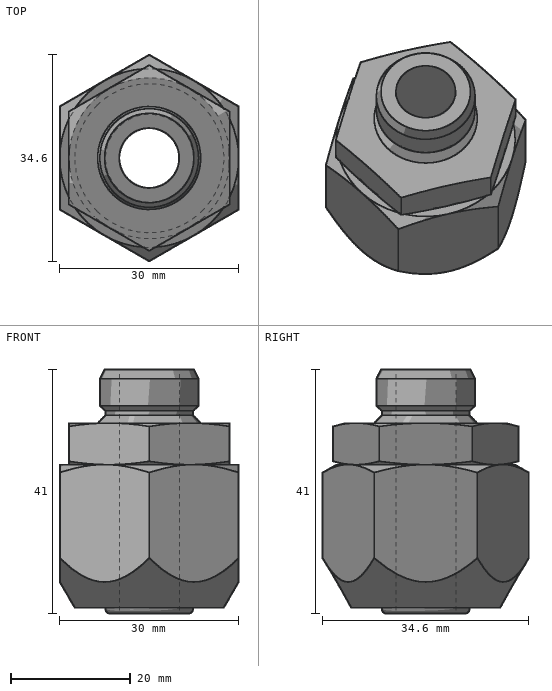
import cadquery as cq
import math

total_height = 41.0
nut_bottom = 1.0
nut_top = 25.0
body_hex_top = 32.0
flare_top = 33.3
thread_bottom = 34.05
thread_full_bottom = 34.85
thread_full_top = 39.45

nut_flats = 30.0
body_flats = 26.98
nut_end_diameter = 25.0
nut_taper_angle = 30.0
nut_chamfer_angle = 30.0
body_chamfer_angle = 15.0

bore_diameter = 10.0
sleeve_diameter = 14.75
sleeve_edge_radius = 0.8
neck_diameter = 14.75
flare_diameter = 17.3
thread_diameter = 16.55
thread_end_diameter = 15.0


def corner_diameter(flats):
    """Distance across the corners of a hexagon."""
    return flats / math.cos(math.radians(30))


def hexagon(flats, bottom, top):
    """Hexagonal prism with flats facing +X and -X."""
    return (
        cq.Workplane("XY", origin=(0, 0, bottom))
        .transformed(rotate=(0, 0, 30))
        .polygon(6, corner_diameter(flats))
        .extrude(top - bottom)
    )


def revolved(profile):
    """Solid of revolution about Z from (radius, height) points."""
    bottom = profile[0][1]
    top = profile[-1][1]
    return (
        cq.Workplane("XZ")
        .polyline([(0, bottom)] + profile + [(0, top)])
        .close()
        .revolve(360, (0, 0, 0), (0, 1, 0))
    )


def clamping_nut():
    """Hexagon tapered at its lower end and chamfered at its upper end."""
    corner_radius = corner_diameter(nut_flats) / 2
    taper_rise = (corner_radius - nut_end_diameter / 2) / math.tan(math.radians(nut_taper_angle))
    chamfer_drop = (corner_radius - nut_flats / 2) * math.tan(math.radians(nut_chamfer_angle))
    envelope = revolved([
        (nut_end_diameter / 2, nut_bottom),
        (corner_radius, nut_bottom + taper_rise),
        (corner_radius, nut_top - chamfer_drop),
        (nut_flats / 2, nut_top),
    ])
    return hexagon(nut_flats, nut_bottom, nut_top).intersect(envelope)


def body_hexagon():
    """Smaller hexagon with its corners chamfered at both ends."""
    corner_radius = corner_diameter(body_flats) / 2
    chamfer_drop = (corner_radius - body_flats / 2) * math.tan(math.radians(body_chamfer_angle))
    envelope = revolved([
        (body_flats / 2, nut_top),
        (corner_radius, nut_top + chamfer_drop),
        (corner_radius, body_hex_top - chamfer_drop),
        (body_flats / 2, body_hex_top),
    ])
    return hexagon(body_flats, nut_top, body_hex_top).intersect(envelope)


def threaded_end():
    """Flared neck, undercut and plain thread cylinder with chamfered ends."""
    return revolved([
        (flare_diameter / 2, body_hex_top),
        (neck_diameter / 2, flare_top),
        (neck_diameter / 2, thread_bottom),
        (thread_diameter / 2, thread_full_bottom),
        (thread_diameter / 2, thread_full_top),
        (thread_end_diameter / 2, total_height),
    ])


def sleeve():
    """Round end projecting below the nut, with a rounded lower edge."""
    return (
        cq.Workplane("XY")
        .circle(sleeve_diameter / 2)
        .extrude(nut_bottom)
        .faces("<Z")
        .edges()
        .fillet(sleeve_edge_radius)
    )


bore = cq.Workplane("XY").circle(bore_diameter / 2).extrude(total_height)

result = clamping_nut().union(body_hexagon()).union(threaded_end()).union(sleeve()).cut(bore)